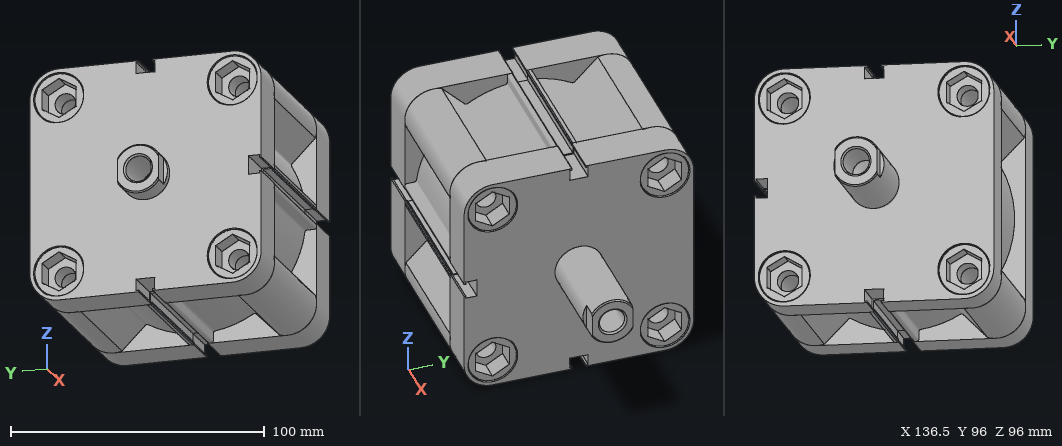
import cadquery as cq
import math

body_width = 96.0
rod_length = 136.5
rod_rear_reach = 9.5
barrel_length = 53.5
cap_thickness = 16.8

barrel_start = cap_thickness
front_cap_start = barrel_start + barrel_length
body_length = front_cap_start + cap_thickness

corner_radius = 12.0
screw_offset = body_width / 2 - corner_radius
screw_hole_diameter = 8.5
hex_across_flats = 14.0
hex_depth = 7.9
counterbore_diameter = 20.7
counterbore_depth = 0.5
groove_width = 0.3
groove_depth = 1.0

core_radius = 43.5
web_width = 21.0
rib_width = 10.4
barrel_fillet = 1.0
position_tolerance = 0.01

slot_angles = (0, 90, 180)
slot_mouth_width = 5.7
cap_slot_width = 7.6
cap_slot_depth = 5.3
cap_lip_depth = 0.7
barrel_slot_width = 6.7
barrel_slot_depth = 4.8
barrel_lip_depth = 1.1
mouth_chamfer = 0.4

rod_diameter = 20.0
rod_chamfer = 0.5
flat_spacing = 16.9
flat_length = 6.7
bore_diameter = 10.5
bore_mouth_diameter = 12.0
bore_depth = 21.8
bore_tip_angle = 118.0


def section_at(x):
    """Sketch plane across the cylinder axis: local x is Y, local y is Z."""
    return cq.Workplane("YZ", origin=(x, 0, 0))


def at_screws(sketch):
    """The four screw axes as points on a sketch plane."""
    return sketch.rect(2 * screw_offset, 2 * screw_offset, forConstruction=True).vertices()


def t_slot(start, length, inner_width, depth, lip_depth):
    """Cutter for a T slot in the top face."""
    top = body_width / 2
    mouth = section_at(start).center(0, top - depth / 2).rect(slot_mouth_width, depth)
    pocket_height = depth - lip_depth
    pocket = section_at(start).center(0, top - depth + pocket_height / 2).rect(inner_width, pocket_height)
    return mouth.extrude(length).union(pocket.extrude(length))


def on_slotted_faces(shape):
    """Copies of a top-face shape on every face that carries a slot."""
    return [shape.rotate((0, 0, 0), (1, 0, 0), angle) for angle in slot_angles]


def screw_recess():
    """Cutter for a shallow counterbore whose floor holds a hexagon socket and a ring groove at its rim."""
    outer_radius = counterbore_diameter / 2
    counterbore = section_at(0).circle(outer_radius).extrude(counterbore_depth)
    floor = section_at(counterbore_depth)
    groove = floor.circle(outer_radius).circle(outer_radius - groove_width).extrude(groove_depth)
    hex_across_corners = hex_across_flats / math.cos(math.radians(30))
    hexagon = floor.polygon(6, hex_across_corners).extrude(hex_depth)
    hexagon = hexagon.rotate((0, 0, 0), (1, 0, 0), 90)
    return counterbore.union(groove).union(hexagon)


def make_cap():
    """Rear cap, with its outer face at X = 0."""
    cap = section_at(0).rect(body_width, body_width).extrude(cap_thickness)
    cap = cap.edges("|X").fillet(corner_radius)
    cap = cap.cut(section_at(0).circle(rod_diameter / 2).extrude(cap_thickness))

    cap = cap.cut(at_screws(section_at(0)).circle(screw_hole_diameter / 2).extrude(cap_thickness))
    recess = screw_recess()
    for y in (-screw_offset, screw_offset):
        for z in (-screw_offset, screw_offset):
            cap = cap.cut(recess.translate((0, y, z)))

    slot = t_slot(0, cap_thickness, cap_slot_width, cap_slot_depth, cap_lip_depth)
    for cutter in on_slotted_faces(slot):
        cap = cap.cut(cutter)
    return cap


def is_on_core(edge):
    """True for an edge along X where a web or rib meets the round core."""
    centre = edge.Center()
    return abs(math.hypot(centre.y, centre.z) - core_radius) < position_tolerance


def corner_web():
    """Web along local x through the axis, with a round boss end at two opposite corners."""
    corner_reach = screw_offset * math.sqrt(2)
    half_width = web_width / 2
    flank_end = corner_reach + math.sqrt(corner_radius ** 2 - half_width ** 2)
    boss_tip = corner_reach + corner_radius
    return (
        section_at(barrel_start)
        .moveTo(-flank_end, -half_width)
        .lineTo(flank_end, -half_width)
        .threePointArc((boss_tip, 0), (flank_end, half_width))
        .lineTo(-flank_end, half_width)
        .threePointArc((-boss_tip, 0), (-flank_end, -half_width))
        .close()
        .extrude(barrel_length)
    )


def top_rib():
    """Rib from the axis up to the level of the cap's top face, with rounded outer edges."""
    height = body_width / 2
    rib = section_at(barrel_start).center(0, height / 2).rect(rib_width, height).extrude(barrel_length)
    return rib.faces(">Z").edges("|X").fillet(barrel_fillet)


def barrel_slot():
    """Cutter for the T slot in the top rib, with a chamfered mouth."""
    top = body_width / 2
    half_mouth = slot_mouth_width / 2
    slot = t_slot(barrel_start, barrel_length, barrel_slot_width, barrel_slot_depth, barrel_lip_depth)
    flare = (
        section_at(barrel_start)
        .moveTo(-half_mouth - mouth_chamfer, top)
        .lineTo(half_mouth + mouth_chamfer, top)
        .lineTo(half_mouth, top - mouth_chamfer)
        .lineTo(-half_mouth, top - mouth_chamfer)
        .close()
        .extrude(barrel_length)
    )
    return slot.union(flare)


def make_barrel():
    """Round core with a screw boss on a diagonal web at each corner, and slotted ribs."""
    start = section_at(barrel_start)
    barrel = start.circle(core_radius).extrude(barrel_length)
    for angle in (45, 135):
        barrel = barrel.union(corner_web().rotate((0, 0, 0), (1, 0, 0), angle))
    for rib in on_slotted_faces(top_rib()):
        barrel = barrel.union(rib)
    roots = [edge for edge in barrel.edges("|X").vals() if is_on_core(edge)]
    barrel = barrel.newObject(roots).fillet(barrel_fillet)

    for cutter in on_slotted_faces(barrel_slot()):
        barrel = barrel.cut(cutter)
    barrel = barrel.cut(at_screws(start).circle(screw_hole_diameter / 2).extrude(barrel_length))
    return barrel.cut(start.circle(rod_diameter / 2).extrude(barrel_length))


def rod_bore():
    """Cutter for the end bore: countersunk mouth, straight bore and drill tip, opening at X = 0."""
    radius = bore_diameter / 2
    mouth_radius = bore_mouth_diameter / 2
    tip_depth = bore_depth + radius / math.tan(math.radians(bore_tip_angle / 2))
    return (
        cq.Workplane("XY")
        .lineTo(0, mouth_radius)
        .lineTo(mouth_radius - radius, radius)
        .lineTo(bore_depth, radius)
        .lineTo(tip_depth, 0)
        .close()
        .revolve(360, (0, 0, 0), (1, 0, 0))
    )


def rod_flats():
    """Cutter for two wrench flats facing -Y and +Y, starting at X = 0."""
    outside = cq.Workplane("YZ").rect(2 * rod_diameter, 2 * rod_diameter)
    return outside.extrude(flat_length).cut(
        cq.Workplane("YZ").rect(flat_spacing, 2 * rod_diameter).extrude(flat_length)
    )


def make_rod():
    """Through rod with the same end form at both ends."""
    rod = cq.Workplane("YZ").circle(rod_diameter / 2).extrude(rod_length)
    rod = rod.faces("<X or >X").edges().chamfer(rod_chamfer)
    middle = (rod_length / 2, 0, 0)
    for cutter in (rod_flats(), rod_bore()):
        rod = rod.cut(cutter)
        rod = rod.cut(cutter.mirror("YZ", middle))
    return rod.translate((-rod_rear_reach, 0, 0))


rear_cap = make_cap()
front_cap = rear_cap.mirror("YZ", (body_length / 2, 0, 0))
barrel = make_barrel()
rod = make_rod()

result = cq.Compound.makeCompound([rear_cap.val(), front_cap.val(), barrel.val(), rod.val()])